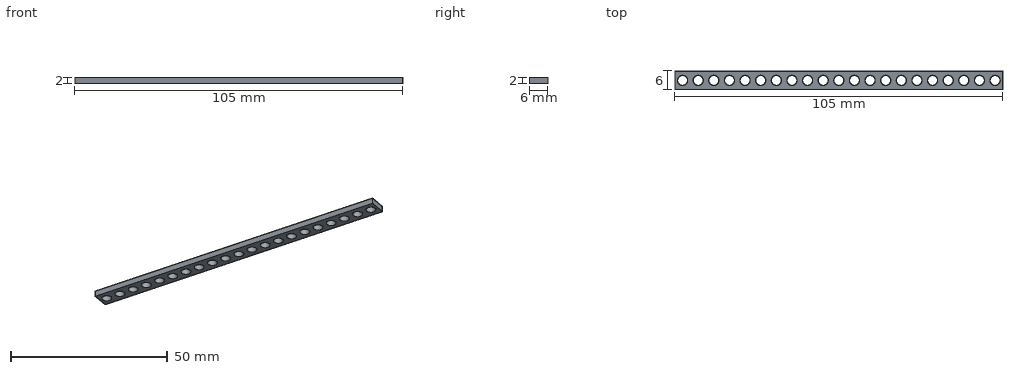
import cadquery as cq

length = 105.0
width = 6.0
thickness = 2.0
hole_count = 21
hole_diameter = 3.2
hole_pitch = length / hole_count

bar = cq.Workplane("XY").box(length, width, thickness)

result = (
    bar.faces(">Z")
    .workplane()
    .rarray(hole_pitch, width, hole_count, 1)
    .hole(hole_diameter)
)